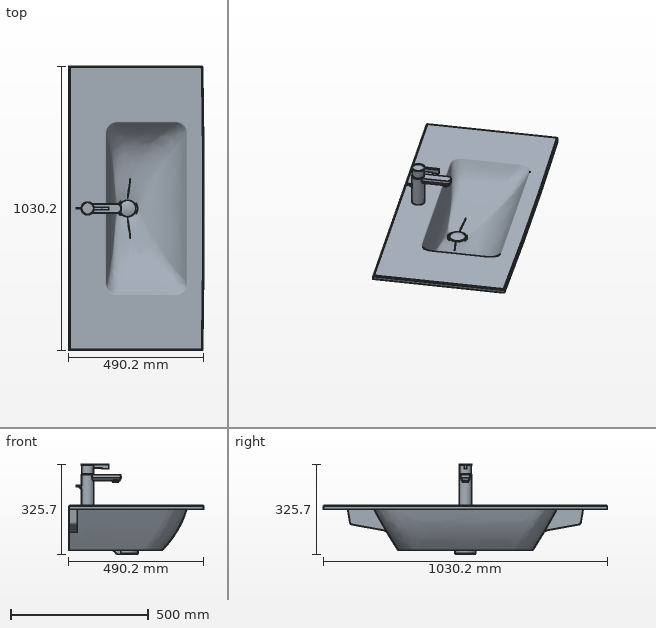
import cadquery as cq
import math


PLATE_DEPTH = 490.18
PLATE_WIDTH = 1030.23
PLATE_THICK = 15.0
FRONT_BULGE = 5.0
PLATE_CORNER = 6.0
PLATE_EDGE = 4.0

SKIRT_BOTTOM = -163.0
SKIRT_SECTIONS = [
    (-PLATE_THICK, 427.0, 331.0),
    (-76.0, 402.0, 297.0),
    (SKIRT_BOTTOM, 338.0, 244.0),
]
SKIRT_CORNER = 70.0
SKIRT_WALL = 14.0
SKIRT_HOLLOW_CORNER = 160.0

BACK_THICK = 30.0
WING_TOP_HALF = 427.0
WING_END_HALF = 418.0
WING_END_Z = -69.0
WING_ROOT_HALF = 286.0
WING_ROOT_Z = -93.0
WING_CORNER = 12.0
WING_ROOT_RADIUS = 25.0
ARCH_HALF = 200.0
ARCH_TOP_Z = -87.0
BOLT_SLOT_Y = 140.0
BOLT_SLOT_Z = -59.0
BOLT_SLOT_LENGTH = 32.0
BOLT_SLOT_HEIGHT = 21.0

DRAIN_X = 213.0
DRAIN_RADIUS = 36.0
DRAIN_Z = -137.0
DRAIN_CORNER = 35.5
BOWL_SECTIONS = [
    (0.0, 135.0, 428.0, 312.0, 40.0),
    (-40.0, 143.0, 402.0, 287.0, 45.0),
    (-76.0, 152.0, 367.0, 251.0, 50.0),
    (-121.0, 167.0, 287.0, 125.0, 55.0),
    (DRAIN_Z, DRAIN_X - DRAIN_RADIUS, DRAIN_X + DRAIN_RADIUS, DRAIN_RADIUS, DRAIN_CORNER),
]
BOWL_WALL = 12.0
RIM_ROUND = 4.0

BASIN_BOTTOM = -177.68
BOSS_DIAMETER = 76.0
BORE_DIAMETER = 44.0
BOSS_BEVEL = 3.0
CHANNEL_HALF = 28.0
CHANNEL_TOP_X = 115.0
CHANNEL_BEND_X = 131.0
CHANNEL_BEND_Z = -122.0
CHANNEL_FOOT_X = 160.0

PLUG_DIAMETER = 60.0
PLUG_RIM = 4.0
PLUG_DOME = 6.0

FAUCET_X = 68.0
COLUMN_DIAMETER = 46.0
COLUMN_TOP = 111.0
SPOUT_END = 189.5
SPOUT_WIDTH = 35.0
SPOUT_EDGE_Z = 100.5
SPOUT_BOTTOM = 89.5
SPOUT_TOP_INSET = 2.0
SPOUT_BOTTOM_INSET = 5.0
SPOUT_CORNER = 13.0
AERATOR_X = 169.0
AERATOR_FLANGE_DIAMETER = 23.15
AERATOR_OUTLET_DIAMETER = 20.15
AERATOR_FLANGE_DROP = 3.0
AERATOR_DROP = 6.5
AERATOR_SEAT = 4.0

HANDLE_DIAMETER = 44.0
HANDLE_NECK_DIAMETER = 42.0
HANDLE_NECK = 3.0
HANDLE_CAP = 3.0
HANDLE_TOP = 148.0
LEVER_END = 145.0
LEVER_WIDTH = 9.0
LEVER_HEIGHT = 16.0
LEVER_THICK = 13.0
LEVER_LIP = 25.0

KNOB_WIDTH = 4.0
KNOB_END_X = 26.5
KNOB_TOP = 72.0
KNOB_THICK = 5.0
KNOB_ROOT_HEIGHT = 14.0
KNOB_INSET = 10.0


def rounded_section(z, back, front, half, corner, back_corner):
    """Wire of one level: a rectangle with rounded front corners and, if asked, rounded back ones."""
    points = [(back, -half, z), (front, -half, z), (front, half, z), (back, half, z)]
    rectangle = cq.Wire.makePolygon([cq.Vector(*point) for point in points], close=True)
    middle = (back + front) / 2
    rounded = [v for v in rectangle.Vertices() if back_corner or v.X > middle]
    return rectangle.fillet2D(corner, rounded)


def loft(wires):
    return cq.Workplane(cq.Solid.makeLoft(wires))


def make_plate():
    half = PLATE_WIDTH / 2
    side = PLATE_DEPTH - FRONT_BULGE
    plate = (
        cq.Workplane("XY", origin=(0, 0, -PLATE_THICK))
        .moveTo(0, -half)
        .lineTo(side, -half)
        .threePointArc((PLATE_DEPTH, 0), (side, half))
        .lineTo(0, half)
        .close()
        .extrude(PLATE_THICK)
    )
    plate = plate.edges("|Z").edges(">X").fillet(PLATE_CORNER)
    return plate.faces(">Z").edges().chamfer(PLATE_EDGE)


def make_skirt_form():
    return loft([rounded_section(z, 0, x, y, SKIRT_CORNER, False) for z, x, y in SKIRT_SECTIONS])


def make_skirt_hollow():
    return loft([
        rounded_section(z, BACK_THICK, x - SKIRT_WALL, y - SKIRT_WALL, SKIRT_HOLLOW_CORNER, False)
        for z, x, y in SKIRT_SECTIONS
    ])


def make_back_wall():
    foot_half = SKIRT_SECTIONS[-1][2]
    outline = [
        (-WING_TOP_HALF, -PLATE_THICK),
        (-WING_END_HALF, WING_END_Z),
        (-WING_ROOT_HALF, WING_ROOT_Z),
        (-foot_half, SKIRT_BOTTOM),
        (foot_half, SKIRT_BOTTOM),
        (WING_ROOT_HALF, WING_ROOT_Z),
        (WING_END_HALF, WING_END_Z),
        (WING_TOP_HALF, -PLATE_THICK),
    ]
    wall = cq.Workplane("YZ").polyline(outline).close().extrude(BACK_THICK)
    for half, z, radius in (
        (WING_END_HALF, WING_END_Z, WING_CORNER),
        (WING_ROOT_HALF, WING_ROOT_Z, WING_ROOT_RADIUS),
    ):
        for y in (-half, half):
            corner = cq.selectors.NearestToPointSelector((BACK_THICK / 2, y, z))
            wall = wall.edges(corner).fillet(radius)
    return wall


def make_arch():
    """Service opening through the lower middle of the back wall."""
    return (
        cq.Workplane("YZ")
        .moveTo(-ARCH_HALF, SKIRT_BOTTOM)
        .threePointArc((0, ARCH_TOP_Z), (ARCH_HALF, SKIRT_BOTTOM))
        .close()
        .extrude(BACK_THICK)
    )


def make_bolt_slots():
    return (
        cq.Workplane("YZ")
        .pushPoints([(-BOLT_SLOT_Y, BOLT_SLOT_Z), (BOLT_SLOT_Y, BOLT_SLOT_Z)])
        .slot2D(BOLT_SLOT_LENGTH, BOLT_SLOT_HEIGHT)
        .extrude(BACK_THICK)
    )


def make_bowl(wall=0.0):
    """Bowl hollow, or its outer form when a wall thickness is given."""
    sections = []
    for z, back, front, half, corner in BOWL_SECTIONS:
        level = z - wall if z < 0 else -wall / 2
        sections.append(
            rounded_section(level, back - wall, front + wall, half + wall, corner + wall / 2, True)
        )
    return loft(sections)


def make_channel():
    """Overflow channel down the back of the bowl into the drain boss."""
    return (
        cq.Workplane("XZ")
        .moveTo(CHANNEL_TOP_X, -PLATE_THICK)
        .threePointArc((CHANNEL_BEND_X, CHANNEL_BEND_Z), (CHANNEL_FOOT_X, SKIRT_BOTTOM))
        .lineTo(DRAIN_X - BOSS_DIAMETER / 2, BASIN_BOTTOM)
        .lineTo(DRAIN_X, BASIN_BOTTOM)
        .lineTo(DRAIN_X, -PLATE_THICK)
        .close()
        .extrude(CHANNEL_HALF, both=True)
    )


def vertical_cylinder(x, diameter, bottom, top):
    return cq.Workplane("XY", origin=(x, 0, bottom)).circle(diameter / 2).extrude(top - bottom)


def make_basin():
    skirt_form = make_skirt_form()
    bowl_shell = make_bowl(BOWL_WALL).intersect(skirt_form.union(make_plate()))
    boss = vertical_cylinder(DRAIN_X, BOSS_DIAMETER, BASIN_BOTTOM, DRAIN_Z)
    boss = boss.faces("<Z").edges().chamfer(BOSS_BEVEL)

    basin = make_plate().union(skirt_form.cut(make_skirt_hollow())).union(make_back_wall())
    basin = basin.union(bowl_shell).union(make_channel()).union(boss)
    basin = basin.cut(make_bowl())
    _, rim_back, rim_front, rim_half, _ = BOWL_SECTIONS[0]
    rim_zone = cq.selectors.BoxSelector(
        (rim_back - RIM_ROUND, -rim_half - RIM_ROUND, -RIM_ROUND),
        (rim_front + RIM_ROUND, rim_half + RIM_ROUND, RIM_ROUND),
    )
    basin = basin.faces(">Z").edges(rim_zone).fillet(RIM_ROUND)
    basin = basin.cut(vertical_cylinder(DRAIN_X, BORE_DIAMETER, BASIN_BOTTOM, DRAIN_Z))
    return basin.cut(make_arch()).cut(make_bolt_slots())


def make_plug():
    """Domed drain plug whose stem fills the drain bore."""
    radius = PLUG_DIAMETER / 2
    stem = BORE_DIAMETER / 2
    rim_top = DRAIN_Z + PLUG_RIM
    dome_top = rim_top + PLUG_DOME
    sphere = (radius**2 + PLUG_DOME**2) / (2 * PLUG_DOME)
    middle = radius / 2
    middle_z = dome_top - sphere + math.sqrt(sphere**2 - middle**2)
    return (
        cq.Workplane("XZ", origin=(DRAIN_X, 0, 0))
        .moveTo(0, BASIN_BOTTOM)
        .lineTo(stem, BASIN_BOTTOM)
        .lineTo(stem, DRAIN_Z)
        .lineTo(radius, DRAIN_Z)
        .lineTo(radius, rim_top)
        .threePointArc((middle, middle_z), (0, dome_top))
        .close()
        .revolve(360, (0, 0, 0), (0, 1, 0))
    )


def spout_section(z, inset):
    """Wire of one spout level, from the faucet axis to the rounded free end."""
    half = SPOUT_WIDTH / 2 - inset
    return rounded_section(z, FAUCET_X, SPOUT_END - inset, half, SPOUT_CORNER - inset, False)


def make_aerator():
    flange_bottom = SPOUT_BOTTOM - AERATOR_FLANGE_DROP
    flange = vertical_cylinder(
        AERATOR_X, AERATOR_FLANGE_DIAMETER, flange_bottom, SPOUT_BOTTOM + AERATOR_SEAT
    )
    outlet = vertical_cylinder(
        AERATOR_X, AERATOR_OUTLET_DIAMETER, SPOUT_BOTTOM - AERATOR_DROP, flange_bottom
    )
    return flange.union(outlet)


def make_knob():
    """Flat lift knob with a tapered root, entering the back of the column."""
    column_back = FAUCET_X - COLUMN_DIAMETER / 2
    underside = KNOB_TOP - KNOB_THICK
    root_bottom = KNOB_TOP - KNOB_ROOT_HEIGHT
    outline = [
        (KNOB_END_X, KNOB_TOP),
        (KNOB_END_X, underside),
        (column_back - (underside - root_bottom), underside),
        (column_back, root_bottom),
        (column_back + KNOB_INSET, root_bottom),
        (column_back + KNOB_INSET, KNOB_TOP),
    ]
    return cq.Workplane("XZ").polyline(outline).close().extrude(KNOB_WIDTH / 2, both=True)


def make_faucet_body():
    spout_levels = [
        (SPOUT_BOTTOM, SPOUT_BOTTOM_INSET),
        (SPOUT_EDGE_Z, 0.0),
        (COLUMN_TOP, SPOUT_TOP_INSET),
    ]
    spout = cq.Workplane(
        cq.Solid.makeLoft([spout_section(z, inset) for z, inset in spout_levels], True)
    )
    column = vertical_cylinder(FAUCET_X, COLUMN_DIAMETER, 0, COLUMN_TOP)
    return column.union(spout).cut(make_aerator()).cut(make_knob())


def make_lever():
    """Thin lever standing out from the handle, with a finger lip at its end."""
    outline = [
        (FAUCET_X, HANDLE_TOP),
        (LEVER_END, HANDLE_TOP),
        (LEVER_END, HANDLE_TOP - LEVER_HEIGHT),
        (LEVER_END - LEVER_LIP, HANDLE_TOP - LEVER_HEIGHT),
        (LEVER_END - LEVER_LIP, HANDLE_TOP - LEVER_THICK),
        (FAUCET_X, HANDLE_TOP - LEVER_THICK),
    ]
    bar = cq.Workplane("XZ").polyline(outline).close().extrude(LEVER_WIDTH / 2, both=True)
    return bar.cut(make_handle())


def make_handle():
    neck_top = COLUMN_TOP + HANDLE_NECK
    cap_bottom = HANDLE_TOP - HANDLE_CAP
    neck = vertical_cylinder(FAUCET_X, HANDLE_NECK_DIAMETER, COLUMN_TOP, neck_top)
    grip = vertical_cylinder(FAUCET_X, HANDLE_DIAMETER, neck_top, cap_bottom)
    cap = vertical_cylinder(FAUCET_X, COLUMN_DIAMETER, cap_bottom, HANDLE_TOP)
    return neck.union(grip).union(cap)


basin = make_basin()
plug = make_plug()
faucet_body = make_faucet_body()
aerator = make_aerator()
knob = make_knob()
handle = make_handle()
lever = make_lever()

result = cq.Compound.makeCompound([
    basin.val(),
    plug.val(),
    faucet_body.val(),
    aerator.val(),
    knob.val(),
    handle.val(),
    lever.val(),
])